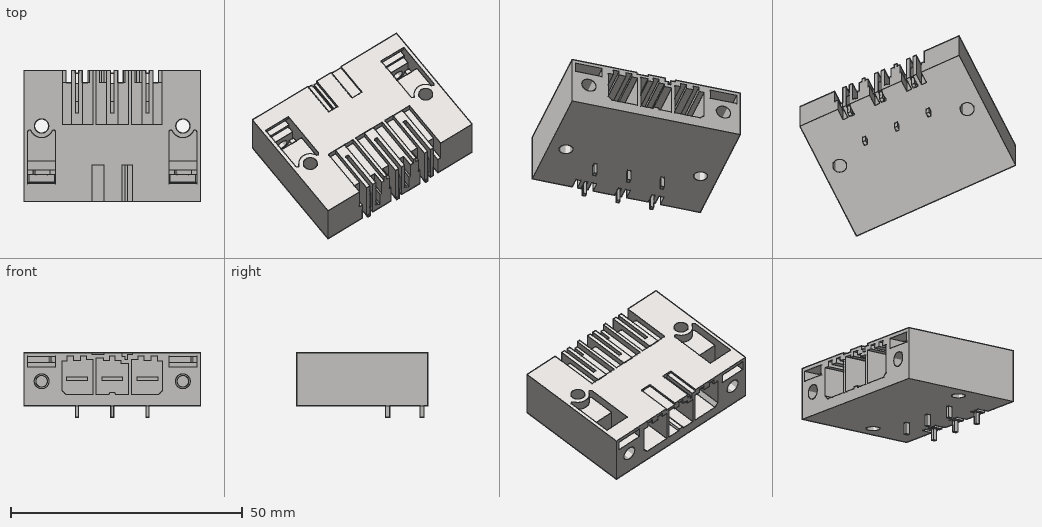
import cadquery as cq

PITCH = 7.62
WIDTH = 5 * PITCH
DEPTH = 28.3
HEIGHT = 11.5

CELL_CENTERS = [-PITCH, 0, PITCH]
MIDDLE_HALF = 3.5
SIDE_INNER = 4.2
CAVITY_DEPTH = 15.0
CAVITY_FLOOR = 2.45
CAVITY_OUTER = 10.85
CAVITY_CHAMFER = 0.85
GROOVE_TOP = 10.8
CEILING = 9.8
INNER_CEILING = 9.95
OUTER_CEILING = 9.65
KEY_EDGE = 0.64
KEY_STEP = 1.85
LEFT_CEILING = 10.35
RIGHT_CEILING = 9.1
SIDE_GROOVE_NEAR = 0.78
SIDE_GROOVE_FAR = 2.1
RIDGE_BASE = 0.7
RIDGE_TOP = 0.5
RIDGE_HEIGHT = 0.42

CODING_LENGTH = 7.9
CODING_DEPTH = 0.45
FLAT_CODING_X = (-4.35, -1.8)
STEPPED_CODING_X = (2.05, 2.75, 3.3, 4.35)
STEPPED_CODING_Z = (10.65, 9.95, HEIGHT - CODING_DEPTH)

RECESS_START = 16.65
RECESS_FLOOR = 10.0
RECESS_OUTER = 10.72
FIN_HALF = 1.2
FIN_TOP = 11.35
SHAFT_START = 25.65
SHAFT_HALF = 2.35
SHAFT_TOP_HALF = 2.75
SHAFT_LEDGE = 5.4
FILLET_RADIUS = 0.62
SHAFT_WEB_HEIGHT = 1.5

CONTACT_THICKNESS = 0.72
BLADE_WIDTH = 4.5
BLADE_BOTTOM = 5.45
BLADE_TOP = 6.25
BLADE_TIP = 6.0
PLATE_START = 19.15
PLATE_STEP = 21.6
PLATE_SLOPE_START = 25.5
PLATE_END = 27.72
PLATE_BOTTOM = 1.5
PLATE_TOP = 9.0
PLATE_SHOULDER = 8.0
PIN_LENGTH = 2.5
PIN_SPANS = [(PLATE_START, 20.1), (26.6, 27.5)]

FLANGE_X = 2 * PITCH
SCREW_Z = 5.3
SCREW_HOLE_RADIUS = 1.6
RELIEF_HOLE_RADIUS = 1.85
MOUNT_Y = 16.3
MOUNT_HOLE_RADIUS = 1.5
BOSS_RADIUS = 2.5
TIP_RADIUS = 0.4
POCKET_WIDTH = 6.0
POCKET_START = 3.85
POCKET_FLOOR = 9.4
WINDOW_BOTTOM = 8.4
WINDOW_TOP = 10.65
RIB_START = 5.8
RIB_END = 6.8
WELL_END = 8.8

NUT_SIZE = 5.5
NUT_THICKNESS = 1.6
NUT_BORE_RADIUS = 1.25
NUT_GAP = 0.12
NUT_BOTTOM = SCREW_Z - NUT_SIZE / 2
NUT_SLOT_START = RIB_START - NUT_THICKNESS - NUT_GAP


def block(x_span, y_span, z_span):
    """Box between two X, two Y and two Z values."""
    return (
        cq.Workplane("XY")
        .box(x_span[1] - x_span[0], y_span[1] - y_span[0], z_span[1] - z_span[0], centered=False)
        .translate((x_span[0], y_span[0], z_span[0]))
    )


def centred_span(centre, width):
    return (centre - width / 2, centre + width / 2)


def front_prism(points, start, end):
    """Outline in X and Z, extruded along Y."""
    plane = cq.Workplane("XZ", origin=(0, start, 0))
    return plane.polyline(points).close().extrude(start - end)


def front_cylinder(x, radius, start, end):
    """Cylinder along Y on the screw axis of a flange."""
    plane = cq.Workplane("XZ", origin=(x, start, SCREW_Z))
    return plane.circle(radius).extrude(start - end)


def side_cavity():
    """Mating cavity of the right-hand cell."""
    groove_offsets = (-SIDE_GROOVE_FAR, -SIDE_GROOVE_NEAR, SIDE_GROOVE_NEAR, SIDE_GROOVE_FAR)
    groove_edges = [PITCH + offset for offset in groove_offsets]
    points = [
        (SIDE_INNER, CAVITY_FLOOR),
        (SIDE_INNER, INNER_CEILING),
        (groove_edges[0], INNER_CEILING),
        (groove_edges[0], GROOVE_TOP),
        (groove_edges[1], GROOVE_TOP),
        (groove_edges[1], CEILING),
        (groove_edges[2], CEILING),
        (groove_edges[2], GROOVE_TOP),
        (groove_edges[3], GROOVE_TOP),
        (groove_edges[3], OUTER_CEILING),
        (CAVITY_OUTER, OUTER_CEILING),
        (CAVITY_OUTER, CAVITY_FLOOR + CAVITY_CHAMFER),
        (CAVITY_OUTER - CAVITY_CHAMFER, CAVITY_FLOOR),
    ]
    return front_prism(points, 0, CAVITY_DEPTH)


def middle_cavity():
    """Mating cavity of the middle cell, with a coded ceiling and a ridge on the floor."""
    ridge_z = CAVITY_FLOOR + RIDGE_HEIGHT
    points = [
        (-MIDDLE_HALF, CAVITY_FLOOR),
        (-MIDDLE_HALF, LEFT_CEILING),
        (-KEY_STEP, LEFT_CEILING),
        (-KEY_STEP, CEILING),
        (-KEY_EDGE, CEILING),
        (-KEY_EDGE, GROOVE_TOP),
        (KEY_EDGE, GROOVE_TOP),
        (KEY_EDGE, CEILING),
        (KEY_STEP, CEILING),
        (KEY_STEP, RIGHT_CEILING),
        (MIDDLE_HALF, RIGHT_CEILING),
        (MIDDLE_HALF, CAVITY_FLOOR),
        (RIDGE_BASE, CAVITY_FLOOR),
        (RIDGE_TOP, ridge_z),
        (-RIDGE_TOP, ridge_z),
        (-RIDGE_BASE, CAVITY_FLOOR),
    ]
    return front_prism(points, 0, CAVITY_DEPTH)


def coding_grooves():
    """Flat groove and three-level groove in the top face."""
    grooves = block(FLAT_CODING_X, (0, CODING_LENGTH), (HEIGHT - CODING_DEPTH, HEIGHT))
    for left, right, floor in zip(STEPPED_CODING_X, STEPPED_CODING_X[1:], STEPPED_CODING_Z):
        grooves = grooves.union(block((left, right), (0, CODING_LENGTH), (floor, HEIGHT)))
    return grooves


def cell_walls(centre):
    """X of the left and right walls of a cell's back recess."""
    if centre == 0:
        return (-MIDDLE_HALF, MIDDLE_HALF)
    if centre > 0:
        return (SIDE_INNER, RECESS_OUTER)
    return (-RECESS_OUTER, -SIDE_INNER)


def back_recess(centre):
    """Recess on both sides of a cell's fins, with the shafts at its back end."""
    left_wall, right_wall = cell_walls(centre)
    shaft_left = left_wall if centre < 0 else centre - SHAFT_TOP_HALF
    shaft_right = right_wall if centre > 0 else centre + SHAFT_TOP_HALF
    fins = (centre - FIN_HALF, centre + FIN_HALF)
    recess_y = (RECESS_START, DEPTH)
    shaft_y = (SHAFT_START, DEPTH)

    cut = block((left_wall, fins[0]), recess_y, (RECESS_FLOOR, HEIGHT))
    cut = cut.union(block((fins[1], right_wall), recess_y, (RECESS_FLOOR, HEIGHT)))
    cut = cut.union(block(fins, recess_y, (FIN_TOP, HEIGHT)))
    cut = cut.union(block((shaft_left, fins[0]), shaft_y, (SHAFT_LEDGE, HEIGHT)))
    cut = cut.union(block((fins[1], shaft_right), shaft_y, (SHAFT_LEDGE, HEIGHT)))
    cut = cut.union(block((centre - SHAFT_HALF, fins[0]), shaft_y, (0, HEIGHT)))
    return cut.union(block((fins[1], centre + SHAFT_HALF), shaft_y, (0, HEIGHT)))


def shaft_web(centre):
    """Floor of a closed shaft, rising in a concave quarter round towards the fin."""
    left = centre - SHAFT_HALF
    top = SHAFT_WEB_HEIGHT + FILLET_RADIUS
    web = block((left, centre - FIN_HALF), (SHAFT_START, DEPTH), (0, top))
    plane = cq.Workplane("XZ", origin=(left, SHAFT_START, top))
    return web.cut(plane.circle(FILLET_RADIUS).extrude(SHAFT_START - DEPTH))


def contact_slot(centre):
    """Slot between a cell's fins that takes the upright plate of its contact."""
    slot_x = centred_span(centre, CONTACT_THICKNESS)
    slot = block(slot_x, (PLATE_START, DEPTH), (PLATE_BOTTOM, HEIGHT))
    return slot.union(block(slot_x, (SHAFT_START, DEPTH), (0, HEIGHT)))


def flange_pocket(x):
    """Top pocket that ends in an arc around the boss, with a rounded tip at each side."""
    half = POCKET_WIDTH / 2
    centre_x = half - TIP_RADIUS
    centre_drop = ((BOSS_RADIUS + TIP_RADIUS) ** 2 - centre_x**2) ** 0.5
    boss_share = BOSS_RADIUS / (BOSS_RADIUS + TIP_RADIUS)
    touch_x = centre_x * boss_share
    touch_y = MOUNT_Y - centre_drop * boss_share
    tip_y = MOUNT_Y - centre_drop
    return (
        cq.Workplane("XY", origin=(x, 0, POCKET_FLOOR))
        .moveTo(-half, POCKET_START)
        .lineTo(half, POCKET_START)
        .lineTo(half, tip_y)
        .threePointArc((centre_x, tip_y + TIP_RADIUS), (touch_x, touch_y))
        .threePointArc((0, MOUNT_Y - BOSS_RADIUS), (-touch_x, touch_y))
        .threePointArc((-centre_x, tip_y + TIP_RADIUS), (-half, tip_y))
        .close()
        .extrude(HEIGHT - POCKET_FLOOR)
    )


def flange_cut(x):
    """Everything removed from one flange: pocket, window, nut slot, well and screw holes."""
    pocket_x = centred_span(x, POCKET_WIDTH)
    cut = flange_pocket(x)
    cut = cut.union(block(pocket_x, (0, WELL_END), (WINDOW_BOTTOM, WINDOW_TOP)))
    cut = cut.union(block(pocket_x, (NUT_SLOT_START, RIB_START), (NUT_BOTTOM, WINDOW_TOP)))
    cut = cut.union(block(pocket_x, (RIB_START, RIB_END), (SCREW_Z, WINDOW_TOP)))
    cut = cut.union(block(pocket_x, (RIB_END, WELL_END), (NUT_BOTTOM, WINDOW_TOP)))
    cut = cut.union(front_cylinder(x, SCREW_HOLE_RADIUS, 0, NUT_SLOT_START))
    cut = cut.union(front_cylinder(x, RELIEF_HOLE_RADIUS, RIB_START, RIB_END))
    mount_hole = cq.Workplane("XY").center(x, MOUNT_Y).circle(MOUNT_HOLE_RADIUS).extrude(HEIGHT)
    return cut.union(mount_hole)


def make_contact(centre):
    """Flat blade, upright plate with a sloping back corner, and two solder pins."""
    slope_end = PLATE_TOP - (PLATE_END - PLATE_SLOPE_START)
    plate_x = centred_span(centre, CONTACT_THICKNESS)
    contact = (
        cq.Workplane("YZ", origin=(plate_x[0], 0, 0))
        .moveTo(PLATE_START, PLATE_BOTTOM)
        .lineTo(PLATE_START, PLATE_SHOULDER)
        .lineTo(PLATE_STEP, PLATE_SHOULDER)
        .lineTo(PLATE_STEP, PLATE_TOP)
        .lineTo(PLATE_SLOPE_START, PLATE_TOP)
        .lineTo(PLATE_END, slope_end)
        .lineTo(PLATE_END, PLATE_BOTTOM)
        .close()
        .extrude(CONTACT_THICKNESS)
    )
    blade_x = centred_span(centre, BLADE_WIDTH)
    contact = contact.union(block(blade_x, (BLADE_TIP, PLATE_SLOPE_START), (BLADE_BOTTOM, BLADE_TOP)))
    for pin_y in PIN_SPANS:
        contact = contact.union(block(plate_x, pin_y, (-PIN_LENGTH, PLATE_BOTTOM)))
    return contact


def make_nut(x):
    """Square nut standing on edge, against the rib behind it."""
    nut_y = (RIB_START - NUT_THICKNESS, RIB_START)
    nut = block(centred_span(x, NUT_SIZE), nut_y, centred_span(SCREW_Z, NUT_SIZE))
    return nut.cut(front_cylinder(x, NUT_BORE_RADIUS, *nut_y))


def make_housing(contacts):
    """Housing with its cavities, recesses and flanges, and a matching seat for each contact."""
    housing = block(centred_span(0, WIDTH), (0, DEPTH), (0, HEIGHT))
    housing = housing.cut(side_cavity()).cut(side_cavity().mirror("YZ")).cut(middle_cavity())
    housing = housing.cut(coding_grooves())
    for centre in CELL_CENTERS:
        housing = housing.cut(back_recess(centre))
    for centre in CELL_CENTERS[1:]:
        housing = housing.union(shaft_web(centre))
    for centre in CELL_CENTERS:
        housing = housing.cut(contact_slot(centre))
    for x in (-FLANGE_X, FLANGE_X):
        housing = housing.cut(flange_cut(x))
    for contact in contacts:
        housing = housing.cut(contact)
    return housing


contacts = [make_contact(centre) for centre in CELL_CENTERS]
nuts = [make_nut(x) for x in (-FLANGE_X, FLANGE_X)]
housing = make_housing(contacts)

result = cq.Compound.makeCompound(
    [housing.val(), *[contact.val() for contact in contacts], *[nut.val() for nut in nuts]]
)